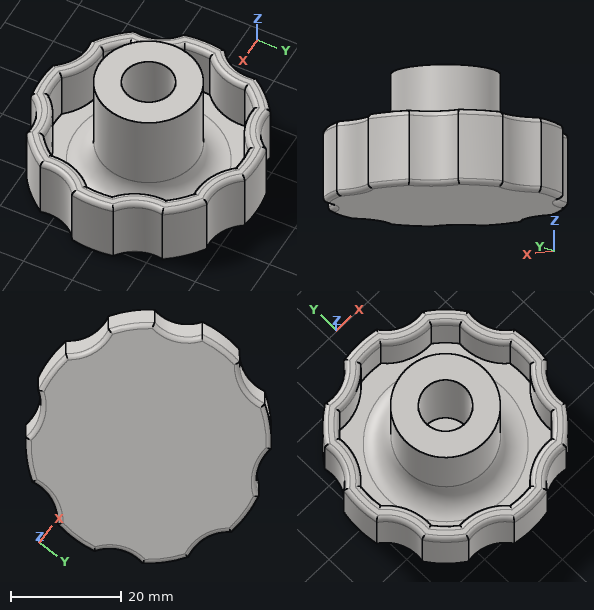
import cadquery as cq
import math

outer_radius = 22.35
rim_height = 13.8
wall_thickness = 3.0
floor_thickness = 3.0
edge_radius = 1.0

scallop_count = 8
scallop_radius = 8.0
scallop_valley_radius = 20.5
scallop_center_distance = scallop_valley_radius + scallop_radius
first_scallop_angle = 180 / scallop_count

hub_radius = 20.0 / 2
hub_top = 24.25
hub_root_radius = 5.0
bore_diameter = 9.9
bore_depth = hub_top - floor_thickness

arc_midpoint_share = 1 - math.sqrt(0.5)


def revolve_about_z(profile):
    return profile.close().revolve(360, (0, 0, 0), (0, 1, 0))


def cut_scallops(body, cutter):
    """Remove one copy of a cutter, centred on the Z axis, at every scallop position."""
    moved = cutter.translate((scallop_center_distance, 0, 0))
    for index in range(scallop_count):
        angle = first_scallop_angle + index * 360 / scallop_count
        body = body.cut(moved.rotate((0, 0, 0), (0, 0, 1), angle))
    return body


def make_rim_blank():
    """Solid scalloped disc with rounded top and bottom edges."""
    disc = cq.Workplane("XY").circle(outer_radius).extrude(rim_height)
    scallop = cq.Workplane("XY").circle(scallop_radius).extrude(rim_height)
    blank = cut_scallops(disc, scallop)
    return blank.faces("<Z or >Z").edges().fillet(edge_radius)


def make_cavity():
    """Cavity that follows the rim outline one wall inside it and flares out at the rounded lip."""
    lip_start = rim_height - edge_radius
    arc_offset = edge_radius * arc_midpoint_share

    cavity_radius = outer_radius - wall_thickness
    flared_disc = revolve_about_z(
        cq.Workplane("XZ")
        .moveTo(0, floor_thickness)
        .lineTo(cavity_radius, floor_thickness)
        .lineTo(cavity_radius, lip_start)
        .threePointArc(
            (cavity_radius + arc_offset, rim_height - arc_offset),
            (cavity_radius + edge_radius, rim_height),
        )
        .lineTo(0, rim_height)
    )

    post_radius = scallop_radius + wall_thickness
    round_topped_post = revolve_about_z(
        cq.Workplane("XZ")
        .lineTo(post_radius, 0)
        .lineTo(post_radius, lip_start)
        .threePointArc(
            (post_radius - arc_offset, rim_height - arc_offset),
            (post_radius - edge_radius, rim_height),
        )
        .lineTo(0, rim_height)
    )
    return cut_scallops(flared_disc, round_topped_post)


def make_hub():
    """Straight round hub that flares into the floor through a concave root."""
    arc_offset = hub_root_radius * arc_midpoint_share
    return revolve_about_z(
        cq.Workplane("XZ")
        .lineTo(hub_radius + hub_root_radius, 0)
        .lineTo(hub_radius + hub_root_radius, floor_thickness)
        .threePointArc(
            (hub_radius + arc_offset, floor_thickness + arc_offset),
            (hub_radius, floor_thickness + hub_root_radius),
        )
        .lineTo(hub_radius, hub_top)
        .lineTo(0, hub_top)
    )


def make_bore():
    top_of_hub = cq.Workplane("XY", origin=(0, 0, hub_top))
    return top_of_hub.circle(bore_diameter / 2).extrude(-bore_depth)


cup = make_rim_blank().cut(make_cavity())
result = cup.union(make_hub()).cut(make_bore())